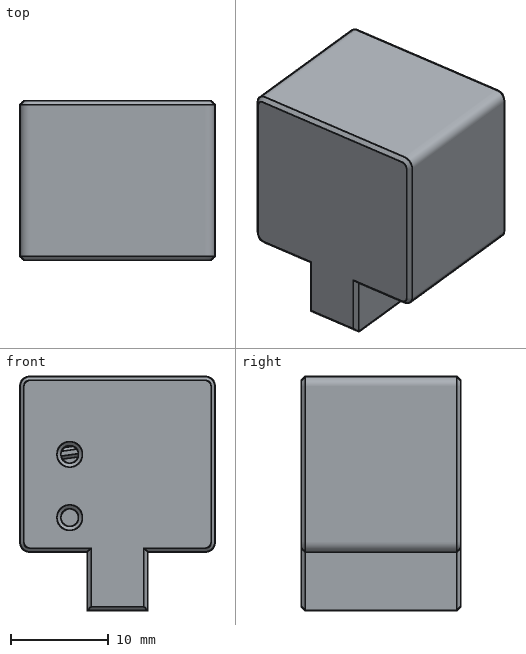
import cadquery as cq

width = 20.0
depth = 16.35
height = 24.0

block_height = 18.0
tongue_width = 6.25
corner_radius = 1.0
bevel = 0.4

hole_diameter = 1.8
countersink_diameter = 2.62
countersink_angle = 90.0
hole_depth = 6.0
hole_x = -4.9
lower_hole_z = 9.53
hole_spacing = 6.48

ridge_height = 0.34
ridge_crest_bottom = -0.05
ridge_crest_top = 0.43
ridge_slant = 8.0

front_y = -depth / 2
floor_y = front_y + hole_depth
upper_hole_z = lower_hole_z + hole_spacing


def make_body():
    """Rounded block and square-cornered tongue, bevelled around both ends."""
    block = (
        cq.Workplane("XY")
        .box(width, depth, block_height, centered=(True, True, False))
        .translate((0, 0, height - block_height))
        .edges("|Y")
        .fillet(corner_radius)
    )
    tongue_height = height - block_height / 2
    tongue = cq.Workplane("XY").box(tongue_width, depth, tongue_height, centered=(True, True, False))
    return block.union(tongue).clean().faces("<Y or >Y").chamfer(bevel)


def cut_holes(body):
    """Drill the two holes, one above the other."""
    return (
        body.copyWorkplane(cq.Workplane("XZ", origin=(0, front_y, 0)))
        .pushPoints([(hole_x, lower_hole_z), (hole_x, upper_hole_z)])
        .cskHole(hole_diameter, countersink_diameter, countersink_angle, hole_depth)
    )


def make_ridge():
    """Ridge with 45 degree flanks, trimmed to the bore and rooted in the hole floor."""
    root_y = ridge_height
    flank_run = ridge_height + root_y
    bar = (
        cq.Workplane("YZ")
        .polyline([
            (-ridge_height, ridge_crest_bottom),
            (-ridge_height, ridge_crest_top),
            (root_y, ridge_crest_top + flank_run),
            (root_y, ridge_crest_bottom - flank_run),
        ])
        .close()
        .extrude(hole_diameter, both=True)
        .rotate((0, 0, 0), (0, 1, 0), -ridge_slant)
    )
    bore = cq.Workplane("XZ").circle(hole_diameter / 2).extrude(hole_depth, both=True)
    return bar.intersect(bore).translate((hole_x, floor_y, upper_hole_z))


result = cut_holes(make_body()).union(make_ridge())